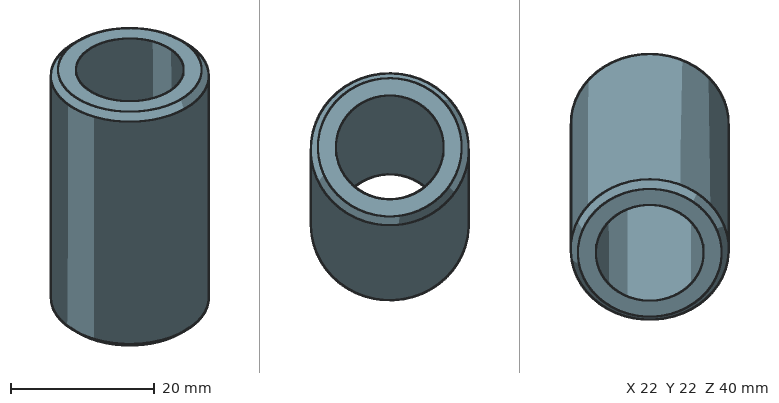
import cadquery as cq

length = 40.0
outer_diameter = 22.0
bore_diameter = 15.0
rim_chamfer = 1.0

body = cq.Workplane("XY").circle(outer_diameter / 2).extrude(length)
body = body.faces("<Z or >Z").edges().chamfer(rim_chamfer)

result = body.faces(">Z").workplane().hole(bore_diameter)